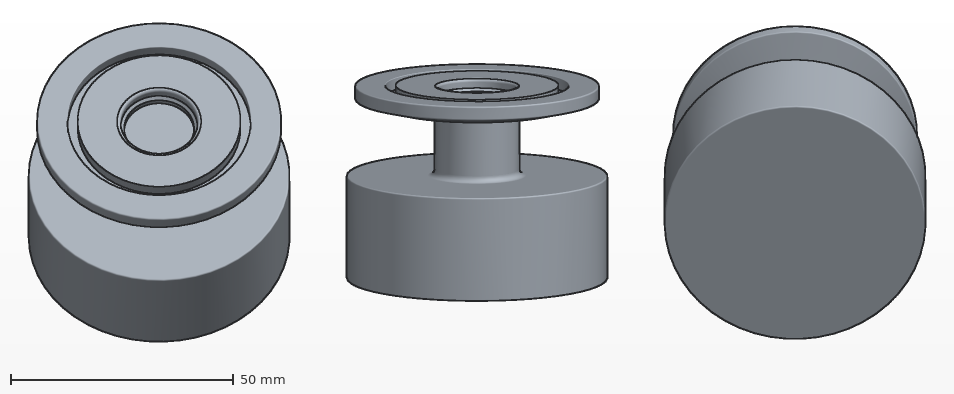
import cadquery as cq
import math

base_radius = 29.35
base_height = 23.55
base_edge_fillet = 0.35

stem_radius = 9.6
stem_fillet = 1.45

total_height = 44.1
flange_radius = 27.5
flange_thickness = 4.95
flange_rim_height = 3.1
flange_underside_radius = 20.25
flange_edge_fillet = 0.35

groove_outer_radius = 20.8
groove_inner_radius = 18.3
groove_depth = 2.7
groove_lip_fillet = 0.2

mouth_radius = 9.65
mouth_lip_fillet = 0.2
upper_bore_radius = 8.65
upper_bore_fillet = 0.65
upper_bore_depth = 2.2
lower_bore_radius = 7.85
step_cone_bottom = 2.8
bore_depth = 4.0


def revolve_profile(outline):
    """Turn a closed (radius, height) outline about the Z axis."""
    return outline.close().revolve(360, (0, 0, 0), (0, 1, 0))


def make_base():
    drum = cq.Workplane("XY").circle(base_radius).extrude(base_height)
    return drum.edges().fillet(base_edge_fillet)


def make_stem():
    foot_radius = stem_radius + stem_fillet
    fillet_top = base_height + stem_fillet
    outline = (
        cq.Workplane("XZ")
        .moveTo(0, base_height / 2)
        .lineTo(foot_radius, base_height / 2)
        .lineTo(foot_radius, base_height)
        .radiusArc((stem_radius, fillet_top), stem_fillet)
        .lineTo(stem_radius, total_height - flange_thickness / 2)
        .lineTo(0, total_height - flange_thickness / 2)
    )
    return revolve_profile(outline)


def make_flange():
    underside = total_height - flange_thickness
    rim_bottom = total_height - flange_rim_height

    slope = math.atan2(rim_bottom - underside, flange_radius - flange_underside_radius)
    tangent_length = flange_edge_fillet * math.tan((math.pi / 2 - slope) / 2)
    fillet_start = (
        flange_radius - tangent_length * math.cos(slope),
        rim_bottom - tangent_length * math.sin(slope),
    )

    outline = (
        cq.Workplane("XZ")
        .moveTo(0, underside)
        .lineTo(flange_underside_radius, underside)
        .lineTo(*fillet_start)
        .radiusArc((flange_radius, rim_bottom + tangent_length), -flange_edge_fillet)
        .lineTo(flange_radius, total_height - flange_edge_fillet)
        .radiusArc((flange_radius - flange_edge_fillet, total_height), -flange_edge_fillet)
        .lineTo(0, total_height)
    )
    return revolve_profile(outline)


def make_groove():
    floor = total_height - groove_depth
    wall_radius = groove_outer_radius - groove_lip_fillet
    outline = (
        cq.Workplane("XZ")
        .moveTo(groove_inner_radius, total_height)
        .lineTo(groove_outer_radius, total_height)
        .radiusArc((wall_radius, total_height - groove_lip_fillet), -groove_lip_fillet)
        .lineTo(wall_radius, floor)
        .lineTo(groove_inner_radius, floor)
    )
    return revolve_profile(outline)


def make_bore():
    ledge_radius = mouth_radius - mouth_lip_fillet
    ledge_height = total_height - mouth_lip_fillet
    outline = (
        cq.Workplane("XZ")
        .moveTo(0, total_height)
        .lineTo(mouth_radius, total_height)
        .radiusArc((ledge_radius, ledge_height), -mouth_lip_fillet)
        .lineTo(upper_bore_radius + upper_bore_fillet, ledge_height)
        .radiusArc((upper_bore_radius, ledge_height - upper_bore_fillet), -upper_bore_fillet)
        .lineTo(upper_bore_radius, total_height - upper_bore_depth)
        .lineTo(lower_bore_radius, total_height - step_cone_bottom)
        .lineTo(lower_bore_radius, total_height - bore_depth)
        .lineTo(0, total_height - bore_depth)
    )
    return revolve_profile(outline)


body = make_base().union(make_stem()).union(make_flange())
result = body.cut(make_groove()).cut(make_bore())